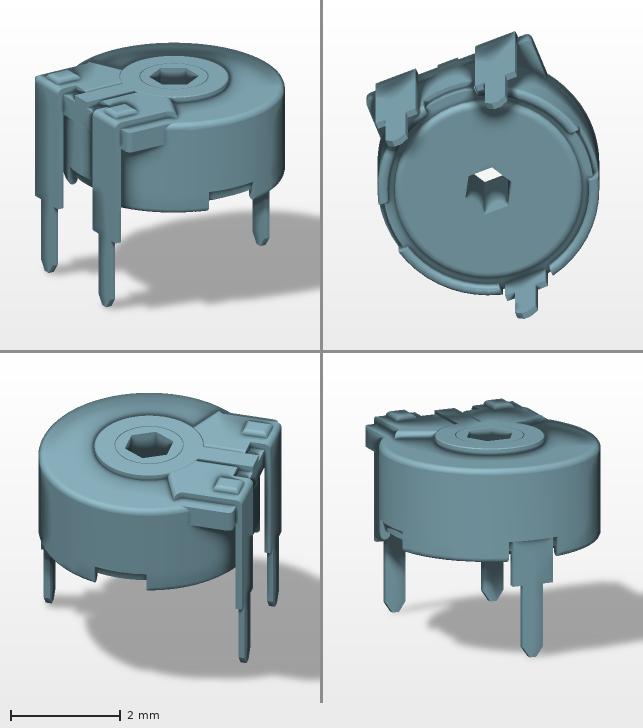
import cadquery as cq
import math


BODY_R = 2.03
BODY_H = 1.77
BODY_TOP_FILLET = 0.115
RING_INNER_R = 1.845
RING_FILLET = 0.09
GROOVE_INNER_R = 1.72
GROOVE_TOP = 0.195
CORE_BOTTOM = 0.045
CORE_FILLET = 0.135
NOTCH_W = 0.99
NOTCH_TOP = 0.39
NOTCH_FLOOR_R = 1.925

SHOULDER_W = 3.253
SHOULDER_FRONT = -2.022
SHOULDER_BOTTOM = 1.38
SHOULDER_CORNER_R = 0.1

PLATE_T = 0.13
PLATE_TOP = BODY_H + PLATE_T
HUB_R = 1.0
HUB_CHAMFER = 0.015
ROTOR_R = 0.617
ROTOR_GAP = 0.015
HEX_FLATS = 0.795
RIB_W = 0.4

TERMINAL_T = 0.115
TERMINAL_X = 0.98
TERMINAL_W = 0.78
PIN_W = 0.39
REAR_TERMINAL_W = 0.795
REAR_PIN_W = 0.4
REAR_TERMINAL_OUTER = 1.947
TIP_W = 0.13
PIN_SHOULDER_Z = -0.47
TIP_START_Z = -1.65
TIP_END_Z = -1.845
BEND_R = 0.113

PAD_EDGE_FILLET = 0.115
PAD_RELIEF_FRONT = -1.755
PAD_WING_TIP = (1.515, -0.88)
PAD_WING_ROOT = (1.395, -0.967)
PAD_SIDE_END = -1.02
PAD_WING_ANGLE = 24.2

BUMP_W = 0.405
BUMP_L = 0.488
BUMP_H = 0.1
BUMP_FILLET = 0.095


def box(x0, x1, y0, y1, z0, z1):
    return cq.Workplane("XY").box(x1 - x0, y1 - y0, z1 - z0, centered=False).translate((x0, y0, z0))


def cylinder(radius, z0, z1):
    return cq.Workplane("XY").workplane(offset=z0).circle(radius).extrude(z1 - z0)


def tube(outer_r, inner_r, z0, z1):
    return cylinder(outer_r, z0, z1).cut(cylinder(inner_r, z0, z1))


def housing():
    """Upper drum, ring below it and a recessed core, with a notch on each of the four sides.

    The notches go right through the ring and only part way into the drum above it.
    """
    drum = cylinder(BODY_R, GROOVE_TOP, BODY_H).faces(">Z").edges().fillet(BODY_TOP_FILLET)
    ring = tube(BODY_R, RING_INNER_R, 0, GROOVE_TOP).faces("<Z").edges().fillet(RING_FILLET)
    core = cylinder(GROOVE_INNER_R, CORE_BOTTOM, GROOVE_TOP).faces("<Z").edges().fillet(CORE_FILLET)
    body = drum.union(ring).union(core)

    slots = box(-BODY_R, BODY_R, -NOTCH_W / 2, NOTCH_W / 2, 0, NOTCH_TOP)
    slots = slots.union(slots.rotate((0, 0, 0), (0, 0, 1), 90))
    kept_inside = cylinder(RING_INNER_R, 0, GROOVE_TOP).union(cylinder(NOTCH_FLOOR_R, GROOVE_TOP, NOTCH_TOP))
    return body.cut(slots.cut(kept_inside))


def shoulder():
    block = box(-SHOULDER_W / 2, SHOULDER_W / 2, SHOULDER_FRONT, 0, SHOULDER_BOTTOM, BODY_H)
    return block.edges("|Z and <Y").fillet(SHOULDER_CORNER_R)


def front_trim():
    """Sliver of the drum that would bulge past the flat front of the shoulder."""
    return box(-SHOULDER_W / 2, SHOULDER_W / 2, -BODY_R, SHOULDER_FRONT, SHOULDER_BOTTOM, BODY_H)


def hub():
    """Raised round hub with a rib running to the front face."""
    disc = cylinder(HUB_R, BODY_H, PLATE_TOP).faces(">Z").edges().chamfer(HUB_CHAMFER)
    return disc.union(box(-RIB_W / 2, RIB_W / 2, SHOULDER_FRONT, -ROTOR_R, BODY_H, PLATE_TOP))


def pad():
    """Right-hand contact plate, with rounded edges beside the rib and along its wing."""
    rib_x = RIB_W / 2
    inner_x = TERMINAL_X - TERMINAL_W / 2
    outer_x = TERMINAL_X + TERMINAL_W / 2
    tip_x, tip_y = PAD_WING_TIP
    wing_end_x = ROTOR_R
    wing_end_y = tip_y + (tip_x - wing_end_x) * math.tan(math.radians(PAD_WING_ANGLE))
    outline = [
        (outer_x, SHOULDER_FRONT),
        (outer_x, PAD_SIDE_END),
        PAD_WING_ROOT,
        PAD_WING_TIP,
        (wing_end_x, wing_end_y),
        (rib_x, wing_end_y),
        (rib_x, PAD_RELIEF_FRONT),
        (inner_x, PAD_RELIEF_FRONT),
        (inner_x, SHOULDER_FRONT),
    ]
    plate = cq.Workplane("XY").workplane(offset=BODY_H).polyline(outline).close().extrude(PLATE_T)
    wing_middle = ((tip_x + wing_end_x) / 2, (tip_y + wing_end_y) / 2, PLATE_TOP)
    plate = plate.edges(cq.selectors.NearestToPointSelector(wing_middle)).fillet(PAD_EDGE_FILLET)
    plate = plate.faces("<X").edges(">Z").fillet(PAD_EDGE_FILLET)
    return plate.cut(cylinder(HUB_R, BODY_H, PLATE_TOP))


def bump():
    block = box(
        TERMINAL_X - BUMP_W / 2, TERMINAL_X + BUMP_W / 2,
        SHOULDER_FRONT, SHOULDER_FRONT + BUMP_L,
        PLATE_TOP, PLATE_TOP + BUMP_H,
    )
    return block.faces(">Z").edges().fillet(BUMP_FILLET)


def terminal(center_x, outer_y, top_z, width, pin_width):
    """Flat upright terminal, stepped down to a pin with a tapered tip; it extends to +Y from outer_y."""
    right_side = [
        (width / 2, top_z),
        (width / 2, PIN_SHOULDER_Z),
        (pin_width / 2, PIN_SHOULDER_Z),
        (pin_width / 2, TIP_START_Z),
        (TIP_W / 2, TIP_END_Z),
    ]
    left_side = [(-x, z) for x, z in reversed(right_side)]
    blade = cq.Workplane("XZ").polyline(right_side + left_side).close().extrude(-TERMINAL_T)
    return blade.translate((center_x, outer_y, 0))


def front_contact():
    """Right-hand front contact: pad, bump and terminal joined by a rounded bend."""
    blade = terminal(TERMINAL_X, SHOULDER_FRONT - TERMINAL_T, PLATE_TOP, TERMINAL_W, PIN_W)
    blade = blade.faces(">Z").edges("<Y").fillet(BEND_R)
    return pad().union(bump()).union(blade)


def hex_hole():
    corner_diameter = HEX_FLATS / math.cos(math.pi / 6)
    return cq.Workplane("XY").polygon(6, corner_diameter).extrude(PLATE_TOP)


right_contact = front_contact()
left_contact = right_contact.mirror("YZ")
rear_terminal = terminal(0, REAR_TERMINAL_OUTER - TERMINAL_T, NOTCH_TOP, REAR_TERMINAL_W, REAR_PIN_W)
rotor_groove = tube(ROTOR_R + ROTOR_GAP, ROTOR_R, PLATE_TOP - ROTOR_GAP, PLATE_TOP)

result = housing().cut(front_trim()).union(shoulder()).union(hub())
for contact in (right_contact, left_contact, rear_terminal):
    result = result.union(contact)
result = result.cut(rotor_groove).cut(hex_hole())